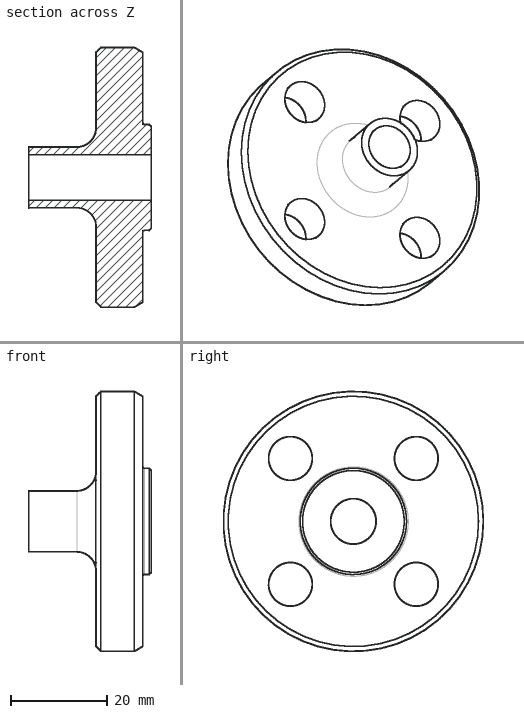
import cadquery as cq

flange_diameter = 54.0
flange_thickness = 9.7
total_length = 25.5
pipe_diameter = 12.7
bore_diameter = 9.4
neck_fillet = 4.0

pipe_side_chamfer = 1.0
face_side_chamfer_length = 1.75
face_side_chamfer_depth = 1.0

face_diameter = 22.1
face_height = 1.8
face_chamfer = 0.5
face_root_fillet = 0.3

bolt_hole_diameter = 9.0
bolt_circle_diameter = 36.95
bolt_hole_count = 4
first_bolt_angle = 45.0

flange_radius = flange_diameter / 2
pipe_radius = pipe_diameter / 2
face_radius = face_diameter / 2
flange_back = total_length - face_height - flange_thickness
flange_front = flange_back + flange_thickness


def revolved_body():
    """Pipe stub, filleted neck, flange and raised face as one turned solid."""
    half_profile = (
        cq.Workplane("XY")
        .lineTo(0, pipe_radius)
        .lineTo(flange_back - neck_fillet, pipe_radius)
        .radiusArc((flange_back, pipe_radius + neck_fillet), -neck_fillet)
        .lineTo(flange_back, flange_radius - pipe_side_chamfer)
        .lineTo(flange_back + pipe_side_chamfer, flange_radius)
        .lineTo(flange_front - face_side_chamfer_length, flange_radius)
        .lineTo(flange_front, flange_radius - face_side_chamfer_depth)
        .lineTo(flange_front, face_radius + face_root_fillet)
        .radiusArc((flange_front + face_root_fillet, face_radius), -face_root_fillet)
        .lineTo(total_length - face_chamfer, face_radius)
        .lineTo(total_length, face_radius - face_chamfer)
        .lineTo(total_length, 0)
        .close()
    )
    return half_profile.revolve(360, (0, 0, 0), (1, 0, 0))


def bore():
    return cq.Workplane("YZ").circle(bore_diameter / 2).extrude(total_length)


def bolt_holes():
    return (
        cq.Workplane("YZ")
        .polarArray(bolt_circle_diameter / 2, first_bolt_angle, 360, bolt_hole_count)
        .circle(bolt_hole_diameter / 2)
        .extrude(total_length)
    )


result = revolved_body().cut(bore()).cut(bolt_holes())